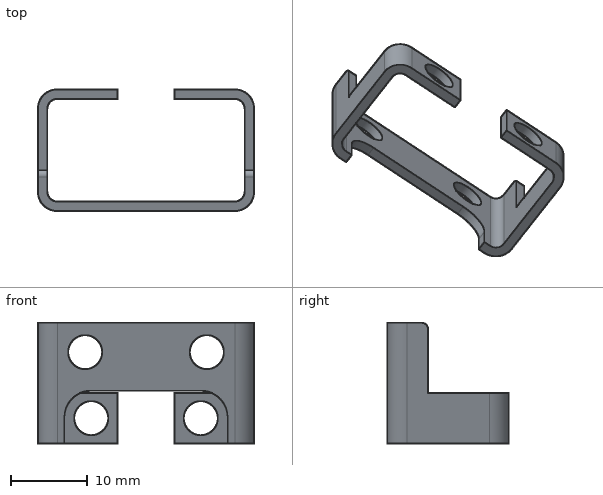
import cadquery as cq

width = 28.2
depth = 15.87
height = 15.75
thickness = 1.27
bend_radius = 2.55

rear_height = 6.62
rear_gap = 7.39
tall_depth = 5.35
tall_corner_radius = 0.85

relief_width = 21.25
relief_height = 6.88
relief_radius = 3.45

hole_diameter = 4.4
front_hole_spacing = 15.85
front_hole_height = 11.92
rear_hole_spacing = 14.26
rear_hole_height = 3.33

front_y = -depth / 2
rear_y = depth / 2


def rounded_block(size_x, size_y, radius):
    """Full-height block with rounded vertical edges, standing on Z = 0."""
    block = cq.Workplane("XY").box(size_x, size_y, height, centered=(True, True, False))
    return block.edges("|Z").fillet(radius)


def bent_wall():
    """Rectangular loop of sheet with concentric bends."""
    outer = rounded_block(width, depth, bend_radius)
    inner = rounded_block(width - 2 * thickness, depth - 2 * thickness, bend_radius - thickness)
    return outer.cut(inner)


def side_profile():
    """L-shaped side silhouette extruded across the whole width."""
    step_y = front_y + tall_depth
    return (
        cq.Workplane("YZ")
        .moveTo(front_y, 0)
        .lineTo(rear_y, 0)
        .lineTo(rear_y, rear_height)
        .lineTo(step_y, rear_height)
        .lineTo(step_y, height - tall_corner_radius)
        .radiusArc((step_y - tall_corner_radius, height), -tall_corner_radius)
        .lineTo(front_y, height)
        .close()
        .extrude(width / 2, both=True)
    )


def front_relief():
    """Round-topped opening through the front wall."""
    block = cq.Workplane("XY").box(relief_width, thickness, relief_height, centered=(True, False, False))
    return block.edges("|Y and >Z").fillet(relief_radius).translate((0, front_y, 0))


def rear_opening():
    """Gap between the two rear flanges."""
    block = cq.Workplane("XY").box(rear_gap, thickness, rear_height, centered=(True, False, False))
    return block.translate((0, rear_y - thickness, 0))


def hole_pair(wall_y, spacing, center_height):
    """Two cylinders along Y through the wall whose -Y face is at wall_y."""
    return (
        cq.Workplane("XZ", origin=(0, wall_y, center_height))
        .pushPoints([(-spacing / 2, 0), (spacing / 2, 0)])
        .circle(hole_diameter / 2)
        .extrude(-thickness)
    )


result = (
    bent_wall()
    .intersect(side_profile())
    .cut(front_relief())
    .cut(rear_opening())
    .cut(hole_pair(front_y, front_hole_spacing, front_hole_height))
    .cut(hole_pair(rear_y - thickness, rear_hole_spacing, rear_hole_height))
)